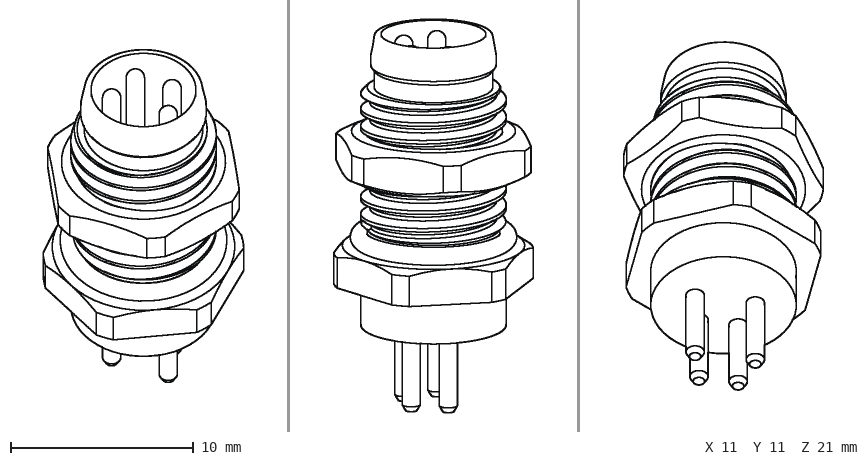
import cadquery as cq
import math

total_height = 21.0
body_bottom = 4.5
collar_bottom = 7.0
collar_top = 9.0
thread_bottom = 10.0
nut_bottom = 13.0
nut_top = 15.5
thread_top = 18.0
neck_top = 19.0
snap_ring_bottom = 19.25
snap_ring_taper_start = 19.8

body_radius = 4.0
neck_radius = 3.25
snap_ring_radius = 3.45
mouth_radius = 3.23
mouth_fillet = 0.15
bore_radius = 2.88
bore_floor_chamfer = 0.1
bore_depth = 6.0

thread_turns = 8
pitch = (thread_top - thread_bottom) / thread_turns
thread_depth = 0.5
thread_chamfer = 0.35
crest_width = pitch / 5
flank_half_angle = math.radians(30)
groove_overshoot = 0.06
groove_turns = thread_turns + 0.5
groove_limit = thread_top + 2 * pitch

across_flats = 10.0
corner_radius = 5.5
nut_bore_radius = 3.78
nut_chamfer_radial = 1.0
nut_chamfer_axial = 0.5
collar_chamfer_radial = 0.5
collar_chamfer_axial = 0.3

seal_tube_radius = (thread_bottom - collar_top) / 2
seal_centre_radius = 4.07

pin_radius = 0.5
pin_top = 20.7
pin_chamfer_radial = 0.19
pin_chamfer_axial = 0.34
pin_positions = [(1.1, 1.45), (-1.1, 1.45), (1.68, -0.5), (-1.68, -0.5)]


def revolve_outline(outline):
    """Turn a sketch of (radius, height) points around the Z axis."""
    return outline.close().revolve(360, (0, 0, 0), (0, 1, 0))


def make_cylinder(radius, bottom, top):
    """Upright cylinder on the Z axis between two heights."""
    return cq.Workplane("XY").workplane(offset=bottom).circle(radius).extrude(top - bottom)


def make_base():
    """Rear cylinder and the narrower core under the sealing ring."""
    rear = make_cylinder(body_radius, body_bottom, collar_bottom)
    core = make_cylinder(body_radius - thread_chamfer, collar_bottom, thread_bottom)
    return rear.union(core)


def make_groove(outer_radius):
    """Helical thread groove that starts on the +Y side, from its root out to the given radius."""
    slope = math.tan(flank_half_angle)
    root_radius = body_radius - thread_depth
    half_mouth = (pitch - crest_width) / 2
    half_root = half_mouth - thread_depth * slope
    half_outer = half_root + (outer_radius - root_radius) * slope
    path = cq.Workplane(obj=cq.Wire.makeHelix(pitch, groove_turns * pitch, root_radius))
    return (
        cq.Workplane("XZ")
        .polyline([
            (root_radius, -half_root),
            (outer_radius, -half_outer),
            (outer_radius, half_outer),
            (root_radius, half_root),
        ])
        .close()
        .sweep(path, isFrenet=True)
        .rotate((0, 0, 0), (0, 0, 1), 90)
        .translate((0, 0, thread_bottom + pitch / 4))
    )


def make_thread():
    """Chamfered cylinder with the helical groove, interrupted where the nut sits."""
    outer_radius = body_radius + groove_overshoot
    blank = make_cylinder(body_radius, thread_bottom, groove_limit)
    envelope = (
        make_cylinder(outer_radius, thread_bottom, thread_top)
        .faces("<Z or >Z")
        .chamfer(thread_chamfer + groove_overshoot)
        .cut(make_cylinder(outer_radius, nut_bottom, nut_top))
    )
    return blank.cut(make_groove(outer_radius)).intersect(envelope)


def make_plug():
    """Neck with the tapered snap ring and its rounded mouth."""
    outline = (
        cq.Workplane("XZ")
        .moveTo(0, thread_top)
        .lineTo(neck_radius, thread_top)
        .lineTo(neck_radius, neck_top)
        .lineTo(snap_ring_radius, snap_ring_bottom)
        .lineTo(snap_ring_radius, snap_ring_taper_start)
        .lineTo(mouth_radius, total_height)
        .lineTo(0, total_height)
    )
    return revolve_outline(outline).faces(">Z").edges().fillet(mouth_fillet)


def make_bore():
    """Socket around the contact pins, with a chamfer around its floor."""
    floor = total_height - bore_depth
    return make_cylinder(bore_radius, floor, total_height).faces("<Z").chamfer(bore_floor_chamfer)


def make_hexagon(bottom, top):
    """Hexagon with corners on X, trimmed round at the corner radius."""
    sharp_diameter = across_flats / math.cos(math.pi / 6)
    prism = cq.Workplane("XY").workplane(offset=bottom).polygon(6, sharp_diameter).extrude(top - bottom)
    return prism.intersect(make_cylinder(corner_radius, bottom, top))


def make_cone_trim(start, chamfer_axial, chamfer_radial):
    """Ring that cuts a conical chamfer; negative axial size reaches down from the start height."""
    outline = (
        cq.Workplane("XZ")
        .moveTo(corner_radius - chamfer_radial, start)
        .lineTo(corner_radius + chamfer_radial, start)
        .lineTo(corner_radius + chamfer_radial, start + 2 * chamfer_axial)
    )
    return revolve_outline(outline)


def make_seal():
    """Sealing ring resting on the collar."""
    return (
        cq.Workplane("XZ")
        .center(seal_centre_radius, collar_top + seal_tube_radius)
        .circle(seal_tube_radius)
        .revolve(360, (-seal_centre_radius, 0, 0), (-seal_centre_radius, 1, 0))
    )


def make_pin(x, y):
    """Straight pin with a chamfered tail and a spherical tip."""
    outline = (
        cq.Workplane("XZ")
        .lineTo(pin_radius - pin_chamfer_radial, 0)
        .lineTo(pin_radius, pin_chamfer_axial)
        .lineTo(pin_radius, pin_top - pin_radius)
        .radiusArc((0, pin_top), -pin_radius)
    )
    return revolve_outline(outline).translate((x, y, 0))


def make_collar():
    """Fixed hexagon with corners on Y, chamfered on top."""
    trim = make_cone_trim(collar_top, -collar_chamfer_axial, collar_chamfer_radial)
    return make_hexagon(collar_bottom, collar_top).cut(trim).rotate((0, 0, 0), (0, 0, 1), 90)


def make_nut():
    """Hexagon nut chamfered on both sides, filled by the thread; the groove is open up to the nut's bore."""
    top_trim = make_cone_trim(nut_top, -nut_chamfer_axial, nut_chamfer_radial)
    bottom_trim = make_cone_trim(nut_bottom, nut_chamfer_axial, nut_chamfer_radial)
    grooved_core = make_cylinder(corner_radius, collar_bottom, groove_limit).cut(make_groove(nut_bore_radius))
    return make_hexagon(nut_bottom, nut_top).cut(top_trim).cut(bottom_trim).intersect(grooved_core)


threaded_body = make_base().union(make_thread()).union(make_nut()).union(make_plug())
result = threaded_body.cut(make_bore()).union(make_collar()).union(make_seal())
for pin_x, pin_y in pin_positions:
    result = result.union(make_pin(pin_x, pin_y))
result = result.solids()